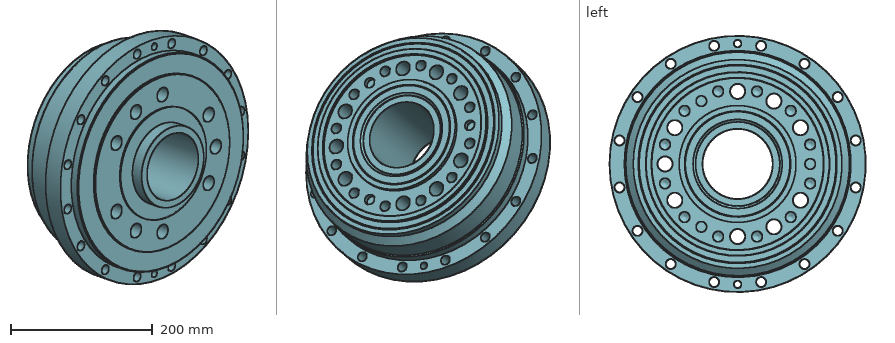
import cadquery as cq
import math


flange_d = 362.0
pilot_d = 320.0
body_d = 315.5
front_rim_d = 294.5
cover_d = 260.0
recess_d = 242.5
hub_d = 165.0
tube_d = 120.0
bore_d = 98.8

cover_front_x = 2.0
recess_floor_x = 5.8
rim_front_x = 6.5
cone_start_x = 16.5
pilot_front_x = 65.0
flange_front_x = 80.5
flange_back_x = 111.0
pilot_back_x = 125.0
cover_back_x = 128.0
hub_back_x = 130.3
tube_end_x = 149.0

pilot_chamfer = 1.5
cover_chamfer = 0.7
recess_chamfer = 0.7
tube_chamfer_length = 1.8
tube_chamfer_depth = 0.5

mouth_d = 126.0
mouth_floor_d = 118.7
mouth_depth = 3.3
tube_front_x = 1.5

groove_depth = 1.0
ring_grooves = [
    (281.0, 1.5, rim_front_x),
    (150.0, 1.0, 0.0),
]

bolt_count = 16
bolt_d = 13.8
flange_circle_d = 340.0
pin_d = 10.0

cover_hole_count = 12
open_hole_d = 21.0
open_circle_d = 205.0
tapped_hole_d = 15.0
tapped_circle_d = 212.0
tapped_depth = 29.0
drill_point_angle = 118.0
dowel_hole_d = 15.0
dowel_circle_d = 205.0
dowel_depth = 8.0
dowel_spacing = 4


def disc(diameter, start_x, end_x):
    """Cylinder on the X axis between two stations."""
    return cq.Workplane("YZ").workplane(offset=start_x).circle(diameter / 2).extrude(end_x - start_x)


def ring(outer_d, inner_d, start_x, end_x):
    """Tube on the X axis between two stations."""
    return disc(outer_d, start_x, end_x).cut(disc(inner_d, start_x, end_x))


def polar_points(circle_d, angles):
    """Y, Z positions on a circle, with angles in degrees from -Y toward +Z."""
    radius = circle_d / 2
    return [
        (-radius * math.cos(math.radians(a)), radius * math.sin(math.radians(a)))
        for a in angles
    ]


def holes(points, diameter, start_x, end_x):
    """Parallel round holes along X."""
    plane = cq.Workplane("YZ").workplane(offset=start_x)
    return plane.pushPoints(points).circle(diameter / 2).extrude(end_x - start_x)


def turned_body():
    """Outer stepped profile revolved about X."""
    cone_length = (body_d - front_rim_d) / 2
    profile = [
        (0, 0),
        (0, hub_d / 2),
        (recess_floor_x, hub_d / 2),
        (recess_floor_x, recess_d / 2),
        (cover_front_x + recess_chamfer, recess_d / 2),
        (cover_front_x, recess_d / 2 + recess_chamfer),
        (cover_front_x, cover_d / 2 - cover_chamfer),
        (cover_front_x + cover_chamfer, cover_d / 2),
        (rim_front_x, cover_d / 2),
        (rim_front_x, front_rim_d / 2),
        (cone_start_x, front_rim_d / 2),
        (cone_start_x + cone_length, body_d / 2),
        (pilot_front_x, body_d / 2),
        (pilot_front_x + pilot_chamfer, pilot_d / 2),
        (flange_front_x, pilot_d / 2),
        (flange_front_x, flange_d / 2),
        (flange_back_x, flange_d / 2),
        (flange_back_x, pilot_d / 2),
        (pilot_back_x - pilot_chamfer, pilot_d / 2),
        (pilot_back_x, pilot_d / 2 - pilot_chamfer),
        (pilot_back_x, cover_d / 2),
        (cover_back_x - cover_chamfer, cover_d / 2),
        (cover_back_x, cover_d / 2 - cover_chamfer),
        (cover_back_x, hub_d / 2),
        (hub_back_x, hub_d / 2),
        (hub_back_x, tube_d / 2),
        (tube_end_x - tube_chamfer_length, tube_d / 2),
        (tube_end_x, tube_d / 2 - tube_chamfer_depth),
        (tube_end_x, 0),
    ]
    return cq.Workplane("XY").polyline(profile).close().revolve(360, (0, 0, 0), (1, 0, 0))


def hub_mouth():
    """Tapered recess around the bore, with the tube standing up inside it."""
    profile = [
        (0, 0),
        (0, mouth_d / 2),
        (mouth_depth, mouth_floor_d / 2),
        (tube_front_x, mouth_floor_d / 2),
        (tube_front_x, 0),
    ]
    return cq.Workplane("XY").polyline(profile).close().revolve(360, (0, 0, 0), (1, 0, 0))


def tapped_holes(points):
    """Blind holes with conical drill points."""
    radius = tapped_hole_d / 2
    floor_x = recess_floor_x + tapped_depth
    point_length = radius / math.tan(math.radians(drill_point_angle / 2))
    cutter = holes(points, tapped_hole_d, recess_floor_x, floor_x)
    for y, z in points:
        tip = cq.Solid.makeCone(radius, 0, point_length, cq.Vector(floor_x, y, z), cq.Vector(1, 0, 0))
        cutter = cutter.union(cq.Workplane(tip))
    return cutter


result = turned_body()
result = result.cut(hub_mouth())
result = result.cut(disc(bore_d, 0, tube_end_x))
for groove_d, groove_width, face_x in ring_grooves:
    result = result.cut(ring(groove_d, groove_d - 2 * groove_width, face_x, face_x + groove_depth))

bolt_step = 360 / bolt_count
bolt_angles = [(i + 0.5) * bolt_step for i in range(bolt_count)]
bolt_points = polar_points(flange_circle_d, bolt_angles)
pin_points = polar_points(flange_circle_d, [90, 270])
result = result.cut(holes(bolt_points, bolt_d, flange_front_x, flange_back_x))
result = result.cut(holes(pin_points, pin_d, flange_front_x, flange_back_x))

cover_step = 360 / cover_hole_count
dowel_angles = [i * cover_step for i in range(0, cover_hole_count, dowel_spacing)]
open_angles = [i * cover_step for i in range(cover_hole_count) if i % dowel_spacing != 0]
tapped_angles = [(i + 0.5) * cover_step for i in range(cover_hole_count)]
open_points = polar_points(open_circle_d, open_angles)
dowel_points = polar_points(dowel_circle_d, dowel_angles)
result = result.cut(holes(open_points, open_hole_d, recess_floor_x, cover_back_x))
result = result.cut(holes(dowel_points, dowel_hole_d, recess_floor_x, recess_floor_x + dowel_depth))
result = result.cut(tapped_holes(polar_points(tapped_circle_d, tapped_angles)))